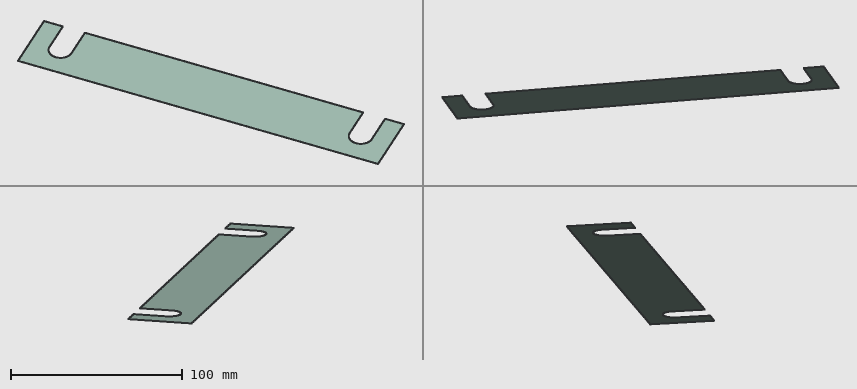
import cadquery as cq

length = 228.5
width = 38.2
thickness = 0.25

slot_width = 14.0
slot_radius = slot_width / 2
slot_depth = 26.5
slot_end_distance = 19.0
slot_x = length / 2 - slot_end_distance
edge_y = width / 2
arc_center_y = edge_y - slot_depth + slot_radius


def open_slot(center_x):
    """Cutter for one slot: straight sides closed by a half-round bottom."""
    return (
        cq.Workplane("XY")
        .moveTo(center_x - slot_radius, edge_y)
        .lineTo(center_x - slot_radius, arc_center_y)
        .threePointArc(
            (center_x, arc_center_y - slot_radius),
            (center_x + slot_radius, arc_center_y),
        )
        .lineTo(center_x + slot_radius, edge_y)
        .close()
        .extrude(thickness)
    )


result = cq.Workplane("XY").box(length, width, thickness, centered=(True, True, False))
for center_x in (-slot_x, slot_x):
    result = result.cut(open_slot(center_x))